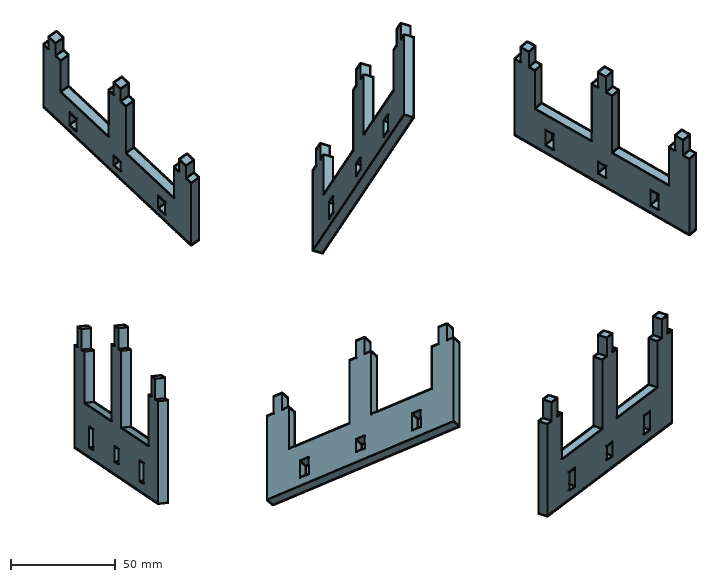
import cadquery as cq

INCH = 25.4

plate_width = 4.25 * INCH
plate_thickness = 0.2 * INCH
base_height = 1.0 * INCH

leg_width = 0.5 * INCH
side_leg_height = 2.0 * INCH
center_leg_height = 2.5 * INCH
side_leg_offset = (plate_width - leg_width) / 2

tab_width = plate_thickness
tab_height = 0.4 * INCH

slot_width = plate_thickness
slot_center_height = 0.4 * INCH
side_slot_height = 0.4 * INCH
center_slot_height = 0.3 * INCH
side_slot_edge_margin = 0.75 * INCH
side_slot_offset = plate_width / 2 - side_slot_edge_margin - slot_width / 2


def block(width, height, center_x, bottom_z):
    """Full-thickness block standing on bottom_z."""
    return (
        cq.Workplane("XY")
        .box(width, plate_thickness, height, centered=(True, True, False))
        .translate((center_x, 0, bottom_z))
    )


def tabbed_leg(center_x, shoulder_height):
    """Leg from the bottom edge up to its shoulder, with a narrower tab on top."""
    leg = block(leg_width, shoulder_height, center_x, 0)
    tab = block(tab_width, tab_height, center_x, shoulder_height)
    return leg.union(tab)


def slot(center_x, height):
    """Rectangular cutter through the plate thickness."""
    return block(slot_width, height, center_x, slot_center_height - height / 2)


result = block(plate_width, base_height, 0, 0)

result = result.union(tabbed_leg(0, center_leg_height))
result = result.cut(slot(0, center_slot_height))

for side in (-1, 1):
    result = result.union(tabbed_leg(side * side_leg_offset, side_leg_height))
    result = result.cut(slot(side * side_slot_offset, side_slot_height))

result = result.clean()